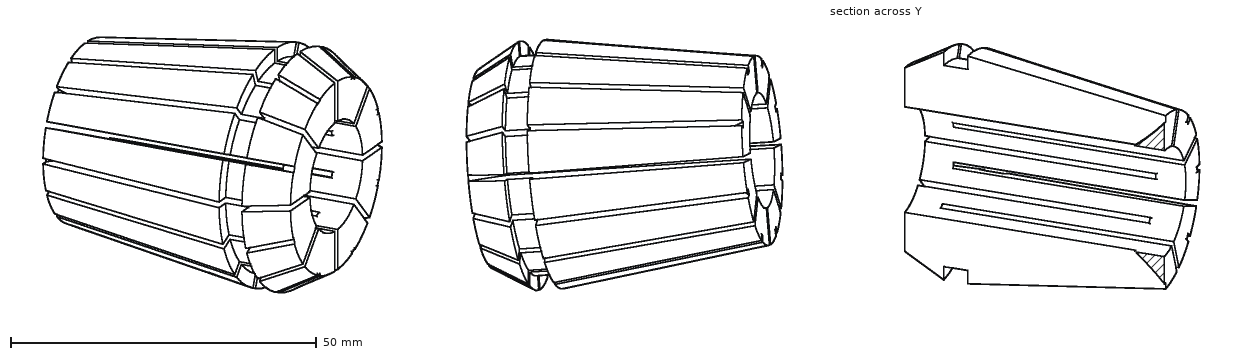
import cadquery as cq
import math

total_length = 46.0
max_diameter = 41.0
bore_diameter = 19.0

rear_taper_length = 34.9
rear_taper_angle = 8.0

groove_width = 4.2
groove_diameter = 36.2
nose_taper_angle = 30.0

slots_per_set = 8
slot_width = 1.0
bridge_length = 5.3
blade_radius = 40.0
rear_bridge_radius = 14.5
nose_bridge_radius = 16.35

max_radius = max_diameter / 2
bore_radius = bore_diameter / 2
groove_radius = groove_diameter / 2
nose_start = rear_taper_length + groove_width
nose_length = total_length - nose_start
rear_radius = max_radius - rear_taper_length * math.tan(math.radians(rear_taper_angle))
nose_radius = max_radius - nose_length * math.tan(math.radians(nose_taper_angle))
slot_pitch = 360.0 / slots_per_set

floor_start_radius = math.sqrt(bore_radius**2 - (slot_width / 2) ** 2)

overrun = 1.0


def make_body():
    """Revolve the half section of the unslotted collet about the X axis."""
    half_section = (
        cq.Workplane("XY")
        .moveTo(0, bore_radius)
        .lineTo(0, rear_radius)
        .lineTo(rear_taper_length, max_radius)
        .lineTo(rear_taper_length, groove_radius)
        .lineTo(nose_start, groove_radius)
        .lineTo(nose_start, max_radius)
        .lineTo(total_length, nose_radius)
        .lineTo(total_length, bore_radius)
        .close()
    )
    return half_section.revolve(360, (0, 0, 0), (1, 0, 0))


def slot_cutter(bridge_radius):
    """One radial slot along +Z, open at the far end, with a bridge at X = 0.

    The slot floor is an arc rising from the bore to bridge_radius on the end face.
    """
    profile = (
        cq.Workplane("XZ")
        .moveTo(bridge_length, 0)
        .lineTo(bridge_length, floor_start_radius)
        .radiusArc((0, bridge_radius), blade_radius)
        .lineTo(-overrun, bridge_radius)
        .lineTo(-overrun, max_radius + overrun)
        .lineTo(total_length + overrun, max_radius + overrun)
        .lineTo(total_length + overrun, 0)
        .close()
    )
    return profile.extrude(slot_width / 2, both=True)


def cut_slots(body, cutter, first_angle):
    """Cut one evenly spaced set of slots around the X axis."""
    for index in range(slots_per_set):
        angle = first_angle + index * slot_pitch
        body = body.cut(cutter.rotate((0, 0, 0), (1, 0, 0), angle))
    return body


nose_slot = slot_cutter(rear_bridge_radius)
rear_slot = slot_cutter(nose_bridge_radius).mirror("YZ").translate((total_length, 0, 0))

collet = make_body()
collet = cut_slots(collet, nose_slot, 0)
result = cut_slots(collet, rear_slot, slot_pitch / 2)